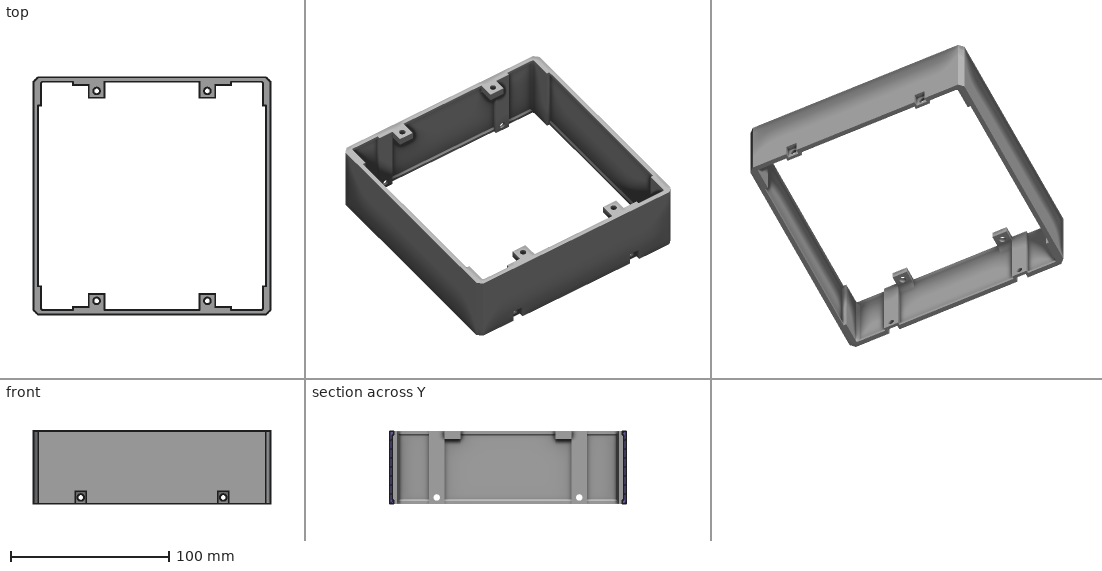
import cadquery as cq

side = 150.0
height = 46.0
half = side / 2
wall = 3.0
corner_chamfer = 3.0

pad_thickness = 5.0
pad_length = 18.0

lip_height = 2.0
recess_depth = 1.0

lip_corner_chamfer = 0.8

post_width = 10.0
post_center = 45.0
post_thickness = 5.0

tab_inner_x = 30.0
tab_reach = 13.0
tab_height = 5.0
tab_root_radius = 3.5
tab_hole_inset = 8.7

hole_diameter = 4.0
hole_height = 4.0
notch_width = 7.0
notch_height = 8.1
notch_depth = 3.0

post_inner_x = post_center - post_width / 2
tab_width = post_inner_x - tab_inner_x
tab_center = tab_inner_x + tab_width / 2
recess_height = height - 2 * lip_height
recess_y = half - wall + recess_depth
recess_span = 2 * recess_y


def box(x_size, y_size, z_size, x, y, z):
    """Box centred on x and y, with its underside at z."""
    return cq.Workplane("XY", origin=(x, y, z)).box(x_size, y_size, z_size, centered=(True, True, False))


def on_all_corners(shape):
    """The shape from the +X +Y corner together with its three mirror images."""
    pair = shape.union(shape.mirror("YZ"))
    return pair.union(pair.mirror("XZ"))


def make_frame():
    outer = box(side, side, height, 0, 0, 0).edges("|Z").chamfer(corner_chamfer)
    opening = (
        box(side - 2 * pad_thickness, side - 2 * wall, height, 0, 0, 0)
        .edges("|Z")
        .chamfer(lip_corner_chamfer)
    )
    between_pads = box(side - 2 * wall, side - 2 * pad_length, height, 0, 0, 0)
    return outer.cut(opening).cut(between_pads)


def make_recesses():
    pad_spacing_x = side - 2 * pad_thickness
    pad_spacing_y = side - 2 * pad_length
    x_walls = (
        box(recess_span, pad_spacing_y, recess_height, 0, 0, lip_height)
        .edges("|Y")
        .chamfer(recess_depth)
    )
    y_walls = (
        box(pad_spacing_x, recess_span, recess_height, 0, 0, lip_height)
        .edges("|X")
        .chamfer(recess_depth)
    )
    corner_slopes = (
        box(pad_spacing_x, recess_span, height, 0, 0, 0)
        .edges("|Z")
        .chamfer(lip_corner_chamfer + recess_depth)
    )
    return x_walls.union(y_walls.intersect(corner_slopes))


def make_post():
    return box(post_width, post_thickness, height, post_center, half - post_thickness / 2, 0)


def make_tab():
    """Tab with a rounded root where its underside meets the recessed wall."""
    underside = height - tab_height
    root_point = (recess_y, underside - tab_root_radius)
    root_end = (recess_y - tab_root_radius, underside)
    profile = (
        cq.Workplane("YZ", origin=(tab_inner_x, 0, 0))
        .moveTo(half - tab_reach, height)
        .lineTo(half - tab_reach, underside)
        .lineTo(*root_end)
        .radiusArc(root_point, tab_root_radius)
        .lineTo(recess_y, height)
        .close()
    )
    return profile.extrude(tab_width)


def make_tab_hole():
    return (
        cq.Workplane("XY")
        .center(tab_center, half - tab_hole_inset)
        .circle(hole_diameter / 2)
        .extrude(height)
    )


def make_side_hole():
    hole = (
        cq.Workplane("XZ", origin=(post_center, half, hole_height))
        .circle(hole_diameter / 2)
        .extrude(post_thickness)
    )
    notch = box(notch_width, notch_depth, notch_height, post_center, half - notch_depth / 2, 0)
    return hole.union(notch)


result = (
    make_frame()
    .cut(make_recesses())
    .union(on_all_corners(make_post().union(make_tab())))
    .cut(on_all_corners(make_tab_hole()))
    .cut(on_all_corners(make_side_hole()))
)